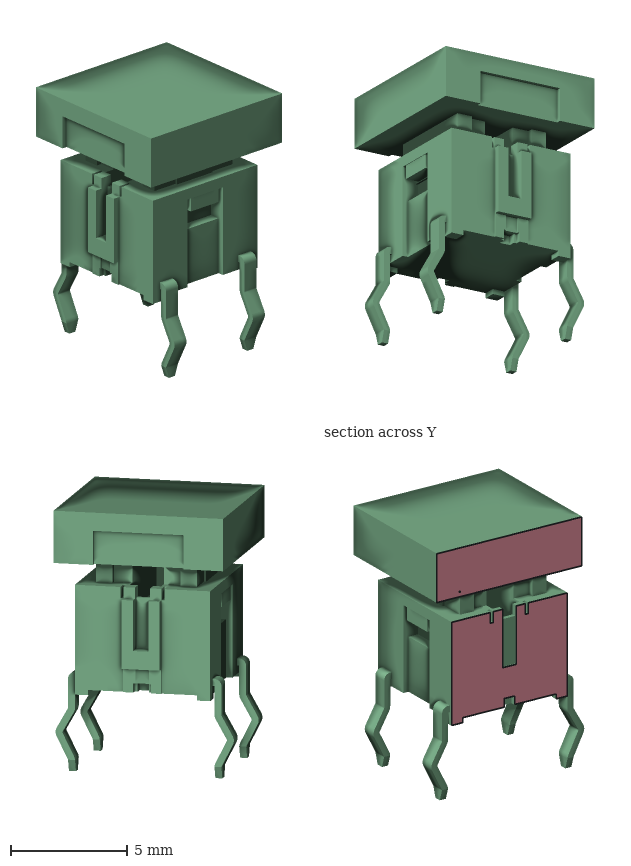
import cadquery as cq
import math


cap_width = 7.52
cap_bottom = 5.9
cap_top = 8.2
cap_notch_width = 4.02
cap_notch_height = 1.5
cap_notch_depth = 0.23

body_width = 6.0
body_half = body_width / 2
body_bottom = 0.23
body_top = 4.83
foot_size = 0.59
wall_inner = 2.45

plunger_width = 4.48
plunger_half = plunger_width / 2
plunger_gap = 1.4
plunger_gap_bottom = 3.66
plunger_recess_width = 3.02
plunger_recess_depth = 0.25

groove_width = 2.04
groove_depth = 0.27
groove_top = 4.33
window_bottom = 2.8

wing_reach = 2.34
wing_bottom = 3.66
wing_top = 5.3
hook_width = 1.58
hook_reach = 2.97
hook_bottom = 3.7

clip_width = 1.68
clip_reach = 3.33
clip_bottom = 1.3
clip_top = 4.33
clip_base_reach = 3.08
clip_relief_width = 1.94
clip_slot_width = 0.68
clip_slot_bottom = 2.11
clip_slot_inner = 2.65
clip_notch_width = 0.6
clip_pocket_width = 0.78
clip_pocket_inner = 2.84
clip_pocket_top = 0.63
clip_hole_width = 0.5
clip_hole_inner = 2.5

leg_pitch = 4.5
leg_width = 0.69
leg_thickness = 0.31
leg_top = 0.9
leg_reach = 3.4
leg_bend_radius = 0.3
knee_reach = 4.005
knee_height = -1.755
knee_outer_radius = 0.4
knee_inner_radius = knee_outer_radius - leg_thickness
slope_inner_radius = 0.1
slope_outer_radius = slope_inner_radius + leg_thickness
slope_top = -0.69
slope_bottom = -2.96
tip_bottom = -3.49
tip_width = 0.34


def block(x_min, x_max, y_min, y_max, z_min, z_max):
    size = (x_max - x_min, y_max - y_min, z_max - z_min)
    return cq.Workplane("XY").box(*size, centered=False).translate((x_min, y_min, z_min))


def front_block(width, inner, outer, z_min, z_max):
    """Block centred on X that lies between two distances in front of the axis."""
    return block(-width / 2, width / 2, -outer, -inner, z_min, z_max)


def left_block(width, inner, outer, z_min, z_max):
    """Block centred on Y that lies between two distances left of the axis."""
    return block(-outer, -inner, -width / 2, width / 2, z_min, z_max)


def with_opposite(shape):
    """The shape together with its copy turned half a turn about Z."""
    return shape.union(shape.rotate((0, 0, 0), (0, 0, 1), 180))


def make_cap():
    cap = front_block(cap_width, -cap_width / 2, cap_width / 2, cap_bottom, cap_top)
    notch_inner = cap_width / 2 - cap_notch_depth
    notch_top = cap_bottom + cap_notch_height
    notch = front_block(cap_notch_width, notch_inner, cap_width / 2, cap_bottom, notch_top)
    return cap.cut(with_opposite(notch))


def make_body():
    body = front_block(body_width, -body_half, body_half, body_bottom, body_top)
    foot_spacing = body_width - foot_size
    feet = (
        cq.Workplane("XY")
        .rect(foot_spacing, foot_spacing, forConstruction=True)
        .vertices()
        .rect(foot_size, foot_size)
        .extrude(body_bottom)
    )
    groove = left_block(groove_width, body_half - groove_depth, body_half, body_bottom, groove_top)
    window = left_block(groove_width, plunger_half, body_half, window_bottom, groove_top)
    relief = front_block(clip_relief_width, wall_inner, body_half, clip_top, body_top)
    return body.union(feet).cut(with_opposite(groove.union(window))).cut(with_opposite(relief))


def make_clip():
    """Front clip, overlapping the body wall behind it."""
    base = front_block(clip_width, wall_inner, clip_base_reach, body_bottom, clip_bottom)
    middle = front_block(clip_width, wall_inner, clip_reach, clip_bottom, clip_top)
    posts = front_block(clip_width, wall_inner, body_half, clip_top, body_top)
    return base.union(middle).union(posts)


def make_clip_cuts():
    slot = front_block(clip_slot_width, clip_slot_inner, clip_reach, clip_slot_bottom, body_top)
    channel = front_block(clip_slot_width, 0, clip_reach, clip_top, body_top)
    notch = front_block(clip_notch_width, body_half, clip_base_reach, body_bottom, clip_bottom)
    pocket = front_block(clip_pocket_width, clip_pocket_inner, clip_base_reach, body_bottom, clip_pocket_top)
    hole = front_block(clip_hole_width, clip_hole_inner, clip_base_reach, body_bottom, clip_pocket_top)
    return slot.union(channel).union(notch).union(pocket).union(hole)


def make_plunger():
    plunger = front_block(plunger_width, -plunger_half, plunger_half, body_top, cap_bottom)
    recess_inner = plunger_half - plunger_recess_depth
    recess = front_block(plunger_recess_width, recess_inner, plunger_half, body_top, cap_bottom)
    wing = left_block(groove_width, plunger_half, wing_reach, wing_bottom, wing_top)
    hook = left_block(hook_width, plunger_half, hook_reach, hook_bottom, groove_top)
    return plunger.cut(with_opposite(recess)).union(with_opposite(wing.union(hook)))


def offset_path(points, distance):
    """Open path parallel to the given one, to the left of its direction of travel."""
    normals = []
    for (x0, z0), (x1, z1) in zip(points, points[1:]):
        length = math.hypot(x1 - x0, z1 - z0)
        normals.append(((z0 - z1) / length, (x1 - x0) / length))
    before = [normals[0]] + normals
    after = normals + [normals[-1]]
    shifted = []
    for (x, z), (ax, az), (bx, bz) in zip(points, before, after):
        stretch = distance / (1 + ax * bx + az * bz)
        shifted.append((x + stretch * (ax + bx), z + stretch * (az + bz)))
    return shifted


def fillet_at(shape, corner, radius):
    """Round the edge along Y that passes nearest to a corner given as (x, z)."""
    x, z = corner
    nearest = cq.selectors.NearestToPointSelector((x, 0, z))
    return shape.edges("|Y").edges(nearest).fillet(radius)


def make_leg():
    """Front left leg: a bent strip with a tapered tip."""
    outer = [
        (-body_half, leg_top),
        (-leg_reach, leg_top),
        (-leg_reach, slope_top),
        (-knee_reach, knee_height),
        (-leg_reach, slope_bottom),
        (-leg_reach, tip_bottom),
    ]
    inner = offset_path(outer, leg_thickness)
    strip = cq.Workplane("XZ").polyline(outer + inner[::-1]).close().extrude(leg_width / 2, both=True)

    strip = fillet_at(strip, outer[1], leg_bend_radius)
    strip = fillet_at(strip, outer[3], knee_outer_radius)
    strip = fillet_at(strip, inner[3], knee_inner_radius)
    for bend in (2, 4):
        strip = fillet_at(strip, outer[bend], slope_inner_radius)
        strip = fillet_at(strip, inner[bend], slope_outer_radius)

    face_outline = [
        (-leg_width / 2, leg_top),
        (-leg_width / 2, slope_bottom),
        (-tip_width / 2, tip_bottom),
        (tip_width / 2, tip_bottom),
        (leg_width / 2, slope_bottom),
        (leg_width / 2, leg_top),
    ]
    face_prism = cq.Workplane("YZ").polyline(face_outline).close().extrude(-knee_reach)
    return strip.intersect(face_prism).translate((0, -leg_pitch / 2, 0))


plunger_channel = front_block(plunger_gap, -wall_inner, wall_inner, plunger_gap_bottom, cap_bottom)
front_left_leg = make_leg()
left_legs = front_left_leg.union(front_left_leg.translate((0, leg_pitch, 0)))

result = make_body().union(with_opposite(make_clip())).union(make_plunger())
result = result.cut(plunger_channel).cut(with_opposite(make_clip_cuts()))
result = result.union(make_cap()).union(with_opposite(left_legs))